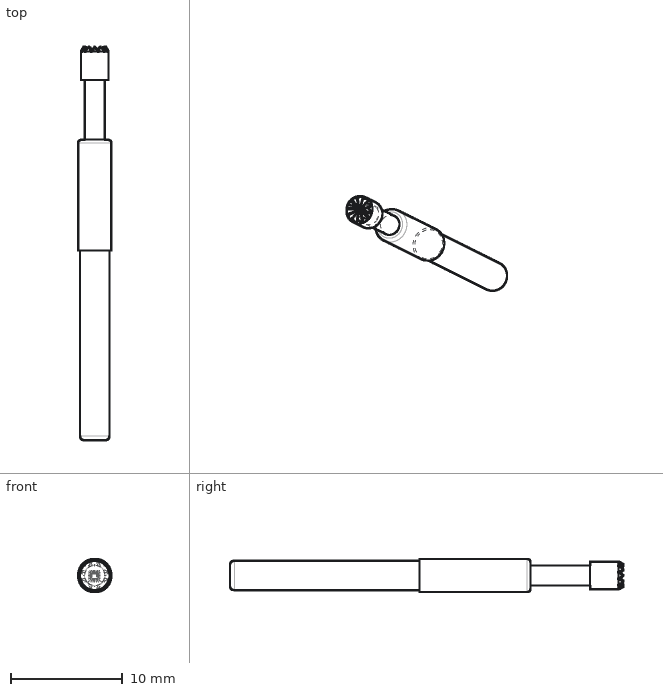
import cadquery as cq
import math


axis_start = (0, 0, 0)
axis_end = (0, 1, 0)

total_length = 35.3
tail_length = 17.0
collar_length = 9.95
head_length = 3.0

tail_diameter = 2.65
collar_diameter = 3.0
stem_diameter = 1.8
head_diameter = 2.5

tail_end_radius = 0.4
collar_end_radius = 0.3

tooth_count = 12
tooth_tip_radius = 1.0
tooth_depth = 0.5
crown_bevel_length = 0.45

tail_end = -total_length / 2
collar_start = tail_end + tail_length
collar_end = collar_start + collar_length
head_end = total_length / 2
head_start = head_end - head_length


def rod(diameter, start, end):
    """Cylinder on the Y axis between two positions."""
    profile = cq.Workplane("XZ", origin=(0, start, 0)).circle(diameter / 2)
    return profile.extrude(start - end)


def make_tail():
    return rod(tail_diameter, tail_end, collar_start).faces("<Y").edges().fillet(tail_end_radius)


def make_collar():
    """Press-fit collar, rounded on the edge that faces the head."""
    collar = rod(collar_diameter, collar_start, collar_end)
    return collar.faces(">Y").edges().fillet(collar_end_radius)


def make_head_blank():
    """Head bevelled from its full diameter to the circle of the tooth tips."""
    radius = head_diameter / 2
    return (
        cq.Workplane("XY")
        .moveTo(0, head_start)
        .lineTo(radius, head_start)
        .lineTo(radius, head_end - crown_bevel_length)
        .lineTo(tooth_tip_radius, head_end)
        .lineTo(0, head_end)
        .close()
        .revolve(360, axis_start, axis_end)
    )


def make_tooth_groove():
    """V groove across the full head that meets its neighbours at the tooth tips."""
    half_width = tooth_tip_radius * math.sin(math.pi / tooth_count)
    return (
        cq.Workplane("XY")
        .moveTo(-half_width, head_end)
        .lineTo(0, head_end - tooth_depth)
        .lineTo(half_width, head_end)
        .close()
        .extrude(head_diameter, both=True)
    )


def make_head():
    """Each groove passes through the axis and so parts the teeth on two opposite sides."""
    head = make_head_blank()
    groove = make_tooth_groove()
    tooth_pitch = 360 / tooth_count
    for index in range(tooth_count // 2):
        angle = (index + 0.5) * tooth_pitch
        head = head.cut(groove.rotate(axis_start, axis_end, angle))
    return head


stem = rod(stem_diameter, collar_end, head_start)

result = make_tail().union(make_collar()).union(stem).union(make_head())